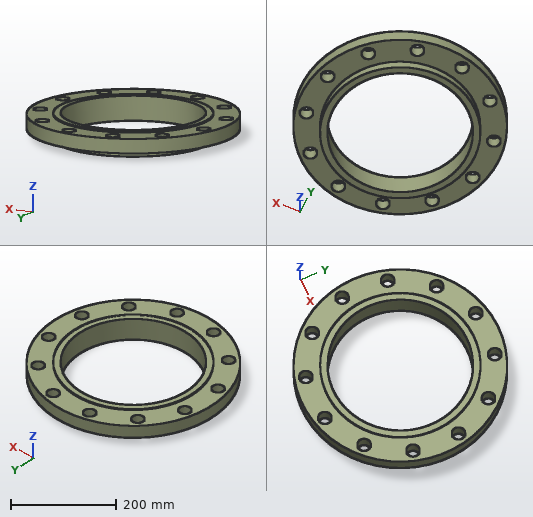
import cadquery as cq

flange_diameter = 406.5
flange_thickness = 28.5

total_height = 49.0
raised_face_height = 2.0
hub_diameter = 305.0
hub_height = total_height - flange_thickness - raised_face_height

bore_diameter = 276.5

bolt_count = 12
bolt_hole_diameter = 25.5
bolt_circle_diameter = 362.0
first_bolt_angle = 360 / bolt_count / 2


def cylinder(diameter, bottom, height):
    """Solid cylinder about the Z axis, standing on the given level."""
    return cq.Workplane("XY").workplane(offset=bottom).circle(diameter / 2).extrude(height)


flange = cylinder(flange_diameter, hub_height, flange_thickness)
hub = cylinder(hub_diameter, 0, total_height)
body = flange.union(hub)

bore = cylinder(bore_diameter, 0, total_height)

bolt_holes = (
    cq.Workplane("XY")
    .polarArray(bolt_circle_diameter / 2, first_bolt_angle, 360, bolt_count)
    .circle(bolt_hole_diameter / 2)
    .extrude(total_height)
)

result = body.cut(bore).cut(bolt_holes)